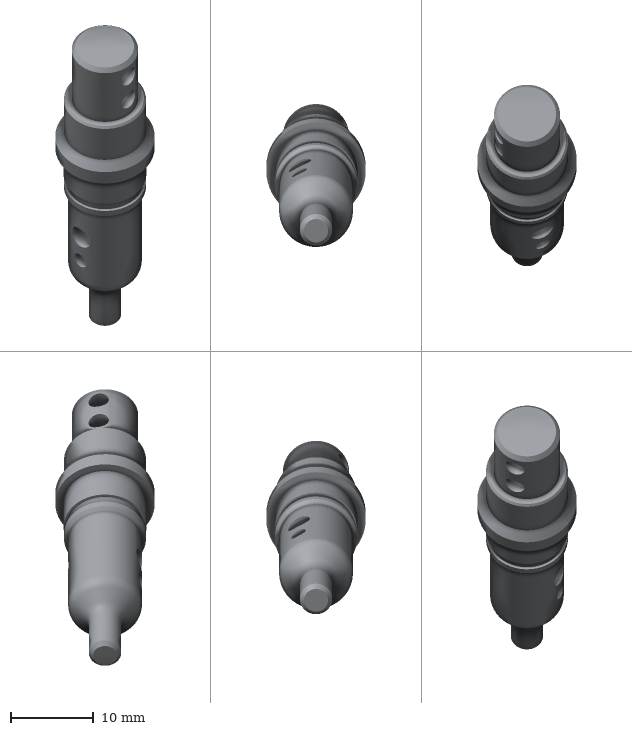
import cadquery as cq
import math

total_length = 47.35

head_radius = 4.0
collar_radius = 4.95
flange_radius = 6.0
seat_radius = 5.0
groove_radius = 4.65
land_radius = 4.95
barrel_radius = 4.45
pin_radius = 1.95

head_length = 9.0
collar_length = 5.65
flange_rim_length = 2.0
seat_length = 4.6
groove_length = 1.3
land_length = 1.4
barrel_length = 12.4

head_chamfer = 0.5
collar_chamfer = 0.25
pin_chamfer = 0.5

nose_blend_radius = 2.0

head_hole_depths = (2.5, 6.5)
head_hole_diameter = 2.5
barrel_large_hole_depth = 30.0
barrel_large_hole_diameter = 3.0
barrel_small_hole_depth = 34.0
barrel_small_hole_diameter = 2.0

head_bottom = total_length - head_length
collar_bottom = head_bottom - collar_length
flange_top = collar_bottom - (flange_radius - collar_radius)
flange_bottom = flange_top - flange_rim_length
seat_bottom = flange_bottom - seat_length
groove_bottom = seat_bottom - groove_length
land_bottom = groove_bottom - land_length
land_chamfer_top = land_bottom + (land_radius - barrel_radius)
barrel_bottom = land_bottom - barrel_length

blend_angle = math.radians(45)
blend_drop = nose_blend_radius * math.sin(blend_angle)
blend_inset = nose_blend_radius * (1 - math.cos(blend_angle))
blend_mid_drop = nose_blend_radius * math.sin(blend_angle / 2)
blend_mid_inset = nose_blend_radius * (1 - math.cos(blend_angle / 2))

cone_top_radius = barrel_radius - blend_inset
cone_bottom_radius = pin_radius + blend_inset
cone_top = barrel_bottom - blend_drop
cone_bottom = cone_top - (cone_top_radius - cone_bottom_radius)
pin_top = cone_bottom - blend_drop


def turned_body():
    """Revolve the half profile (radius, height) about the Z axis."""
    profile = (
        cq.Workplane("XZ")
        .moveTo(0, total_length)
        .lineTo(head_radius - head_chamfer, total_length)
        .lineTo(head_radius, total_length - head_chamfer)
        .lineTo(head_radius, head_bottom)
        .lineTo(collar_radius - collar_chamfer, head_bottom)
        .lineTo(collar_radius, head_bottom - collar_chamfer)
        .lineTo(collar_radius, collar_bottom)
        .lineTo(flange_radius, flange_top)
        .lineTo(flange_radius, flange_bottom)
        .lineTo(seat_radius, flange_bottom)
        .lineTo(seat_radius, seat_bottom)
        .lineTo(groove_radius, seat_bottom)
        .lineTo(groove_radius, groove_bottom)
        .lineTo(land_radius, groove_bottom)
        .lineTo(land_radius, land_chamfer_top)
        .lineTo(barrel_radius, land_bottom)
        .lineTo(barrel_radius, barrel_bottom)
        .threePointArc(
            (barrel_radius - blend_mid_inset, barrel_bottom - blend_mid_drop),
            (cone_top_radius, cone_top),
        )
        .lineTo(cone_bottom_radius, cone_bottom)
        .threePointArc(
            (pin_radius + blend_mid_inset, pin_top + blend_mid_drop),
            (pin_radius, pin_top),
        )
        .lineTo(pin_radius, pin_chamfer)
        .lineTo(pin_radius - pin_chamfer, 0)
        .lineTo(0, 0)
        .close()
    )
    return profile.revolve(360, (0, 0, 0), (0, 1, 0))


def cross_hole(plane, depth_below_top, diameter):
    """Cylinder across the whole part, centred on the axis and normal to the plane."""
    return (
        cq.Workplane(plane)
        .center(0, total_length - depth_below_top)
        .circle(diameter / 2)
        .extrude(flange_radius, both=True)
    )


result = turned_body()

for hole_depth in head_hole_depths:
    result = result.cut(cross_hole("YZ", hole_depth, head_hole_diameter))

result = result.cut(cross_hole("XZ", barrel_large_hole_depth, barrel_large_hole_diameter))
result = result.cut(cross_hole("XZ", barrel_small_hole_depth, barrel_small_hole_diameter))